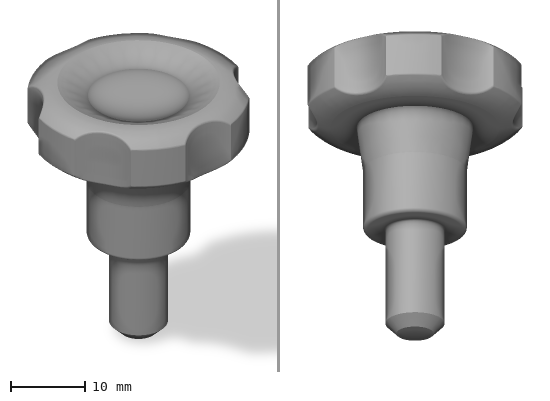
import cadquery as cq
import math

TOTAL_HEIGHT = 39.0
HEAD_HEIGHT = 9.0
COLLAR_BOTTOM = 15.0
COLLAR_TOP = 23.65
HEAD_BOTTOM = TOTAL_HEIGHT - HEAD_HEIGHT

STUD_RADIUS = 8.0 / 2
STUD_CHAMFER = 1.5
STUD_ROOT_FILLET = 0.2
COLLAR_RADIUS = 14.0 / 2
COLLAR_FILLET = 0.5
NECK_TOP_RADIUS = 7.88

HEAD_RADIUS = 30.0 / 2
CROWN_RADIUS = 11.4
SHOULDER_ARC_RADIUS = 5.07
LOWER_SHOULDER_RISE = 1.7
EDGE_FILLET = 0.3

DISH_RIM_RADIUS = 10.95
DISH_FLOOR_RADIUS = 6.82
DISH_DEPTH = 2.0

SCALLOP_COUNT = 6
SCALLOP_HALF_WIDTH = 4.0
SCALLOP_FLOOR_RADIUS = 13.2


def revolve_profile(profile):
    """Revolve a closed profile of (radius, height) about the Z axis."""
    return profile.close().revolve(360, (0, 0, 0), (0, 1, 0))


def arc_middle(start, end, radius):
    """Middle of the minor arc from start to end, bulging to the right of travel."""
    dx = end[0] - start[0]
    dy = end[1] - start[1]
    chord = math.hypot(dx, dy)
    bulge = radius - math.sqrt(radius**2 - (chord / 2) ** 2)
    middle_x = (start[0] + end[0]) / 2
    middle_y = (start[1] + end[1]) / 2
    return (middle_x + bulge * dy / chord, middle_y - bulge * dx / chord)


def make_head():
    """Round head with arched shoulders, scallops and softened edges."""
    run = HEAD_RADIUS - CROWN_RADIUS
    upper_drop = SHOULDER_ARC_RADIUS - math.sqrt(SHOULDER_ARC_RADIUS**2 - run**2)
    upper_rim = (HEAD_RADIUS, TOTAL_HEIGHT - upper_drop)
    crown_edge = (CROWN_RADIUS, TOTAL_HEIGHT)
    lower_rim = (HEAD_RADIUS, HEAD_BOTTOM + LOWER_SHOULDER_RISE)
    base_edge = (CROWN_RADIUS, HEAD_BOTTOM)

    head = revolve_profile(
        cq.Workplane("XZ")
        .moveTo(0, HEAD_BOTTOM)
        .lineTo(*base_edge)
        .threePointArc(arc_middle(base_edge, lower_rim, SHOULDER_ARC_RADIUS), lower_rim)
        .lineTo(*upper_rim)
        .threePointArc(arc_middle(upper_rim, crown_edge, SHOULDER_ARC_RADIUS), crown_edge)
        .lineTo(0, TOTAL_HEIGHT)
    )
    head = head.cut(make_scallops())

    shoulder_edges = head.faces("%CYLINDER").edges("not |Z")
    return shoulder_edges.fillet(EDGE_FILLET)


def make_scallops():
    """Vertical cylinders spaced evenly around the rim, one of them on +X."""
    corner_distance = math.sqrt(HEAD_RADIUS**2 - SCALLOP_HALF_WIDTH**2)
    depth = corner_distance - SCALLOP_FLOOR_RADIUS
    scallop_radius = (SCALLOP_HALF_WIDTH**2 + depth**2) / (2 * depth)
    return (
        cq.Workplane("XY", origin=(0, 0, HEAD_BOTTOM))
        .polarArray(SCALLOP_FLOOR_RADIUS + scallop_radius, 0, 360, SCALLOP_COUNT)
        .circle(scallop_radius)
        .extrude(HEAD_HEIGHT)
    )


def make_dish():
    """Shallow cone-sided recess with a flat floor."""
    floor_height = TOTAL_HEIGHT - DISH_DEPTH
    return revolve_profile(
        cq.Workplane("XZ")
        .moveTo(0, floor_height)
        .lineTo(DISH_FLOOR_RADIUS, floor_height)
        .lineTo(DISH_RIM_RADIUS, TOTAL_HEIGHT)
        .lineTo(0, TOTAL_HEIGHT)
    )


def make_stem():
    """Chamfered stud, cylindrical collar and flared neck."""
    collar_corner = COLLAR_FILLET * (1 - math.sqrt(0.5))
    root_corner = STUD_ROOT_FILLET * (1 - math.sqrt(0.5))
    return revolve_profile(
        cq.Workplane("XZ")
        .moveTo(0, 0)
        .lineTo(STUD_RADIUS - STUD_CHAMFER, 0)
        .lineTo(STUD_RADIUS, STUD_CHAMFER)
        .lineTo(STUD_RADIUS, COLLAR_BOTTOM - STUD_ROOT_FILLET)
        .threePointArc(
            (STUD_RADIUS + root_corner, COLLAR_BOTTOM - root_corner),
            (STUD_RADIUS + STUD_ROOT_FILLET, COLLAR_BOTTOM),
        )
        .lineTo(COLLAR_RADIUS - COLLAR_FILLET, COLLAR_BOTTOM)
        .threePointArc(
            (COLLAR_RADIUS - collar_corner, COLLAR_BOTTOM + collar_corner),
            (COLLAR_RADIUS, COLLAR_BOTTOM + COLLAR_FILLET),
        )
        .lineTo(COLLAR_RADIUS, COLLAR_TOP)
        .lineTo(NECK_TOP_RADIUS, HEAD_BOTTOM)
        .lineTo(0, HEAD_BOTTOM)
    )


result = make_head().cut(make_dish()).union(make_stem())